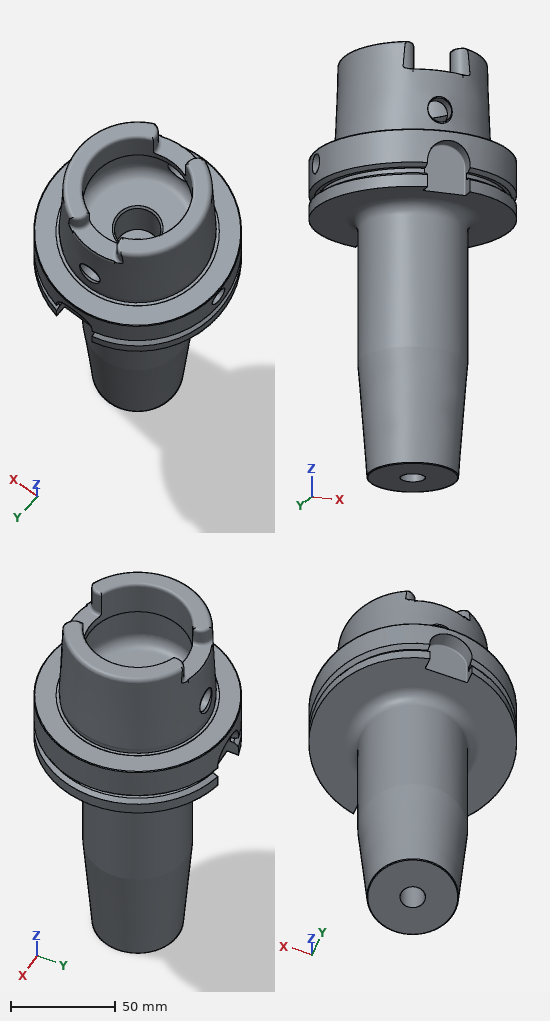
import cadquery as cq
import math


total_length = 210.0
nose_height = 49.7
flange_thickness = 29.2
flange_bottom = -flange_thickness
tip_z = nose_height - total_length

nose_top_radius = 35.9
nose_base_radius = 37.8
nose_rounding = 2.3
neck_radius = 37.5
neck_height = 2.7
relief_radius = 39.3
relief_depth = 0.2

flange_radius = 50.0
flange_chamfer = 0.5
groove_shelf_radius = 47.5
groove_floor_radius = 45.5
groove_centre_z = -20.0
groove_mouth_width = 6.0
groove_floor_width = 3.0

shank_radius = 26.5
shank_fillet = 6.0
tip_radius = 22.0
tip_cone_length = 57.5
tip_chamfer = 0.5

bore_radius = 26.5
bore_straight_depth = 19.0
undercut_radius = 31.5
undercut_slope = math.radians(60)
bore_floor_fillet = 6.3
bore_floor_z = 3.4
thread_bore_radius = 11.1
thread_bore_depth = 25.2
thread_chamfer = 1.0
through_radius = 6.0

front_notch_depth = 14.7
back_notch_depth = 9.7
notch_sill_drop = 1.5
notch_sill_setback = 0.5
notch_sill_half_length = 12.8
notch_half_width = 9.9
notch_corner_radius = 5.9
notch_shoulder_y = 32.1
notch_floor_fillet = 1.7
rim_fillet = 1.5
blank_radius = flange_radius + 4.2

cross_hole_radius = 6.0
cross_hole_z = 15.0
countersink_start_y = 36.5
countersink_length = 2.0
flange_hole_radius = 4.8
flange_hole_z = -7.0
flange_hole_depth = 5.0
keyway_half_width = 11.0
keyway_top_z = -4.8
keyway_floor_y = 42.6
keyway_floor_fillet = 0.6


def revolve_about_z(profile):
    """Spin an X-Z profile around the Z axis."""
    return profile.close().revolve(360, (0, 0, 0), (0, 1, 0))


def nose_radius_at(z):
    """Radius of the nose cone at a given height."""
    slope = (nose_base_radius - nose_top_radius) / (nose_height - neck_height)
    return nose_top_radius + slope * (nose_height - z)


def make_outside():
    """Turned outer shape of nose, flange and shank."""
    cone_lean = math.atan2(nose_base_radius - nose_top_radius, nose_height - neck_height)
    rim_setback = nose_rounding * math.tan((math.pi / 2 - cone_lean) / 2)
    arc_top = (nose_top_radius - rim_setback, nose_height)
    arc_side = (
        nose_top_radius + rim_setback * math.sin(cone_lean),
        nose_height - rim_setback * math.cos(cone_lean),
    )
    middle_angle = (math.pi / 2 + cone_lean) / 2
    arc_middle = (
        arc_top[0] + nose_rounding * math.cos(middle_angle),
        nose_height - nose_rounding + nose_rounding * math.sin(middle_angle),
    )
    fillet_centre = (shank_radius + shank_fillet, flange_bottom - shank_fillet)
    fillet_middle = (
        fillet_centre[0] - shank_fillet * math.cos(math.pi / 4),
        fillet_centre[1] + shank_fillet * math.sin(math.pi / 4),
    )
    profile = (
        cq.Workplane("XZ")
        .moveTo(0, nose_height)
        .lineTo(*arc_top)
        .threePointArc(arc_middle, arc_side)
        .lineTo(nose_base_radius, neck_height)
        .lineTo(neck_radius, neck_height / 2)
        .lineTo(neck_radius, -relief_depth)
        .lineTo(relief_radius, -relief_depth)
        .lineTo(relief_radius, 0)
        .lineTo(flange_radius - flange_chamfer, 0)
        .lineTo(flange_radius, -flange_chamfer)
        .lineTo(flange_radius, groove_centre_z + groove_mouth_width / 2)
        .lineTo(groove_shelf_radius, groove_centre_z + groove_floor_width / 2)
        .lineTo(groove_floor_radius, groove_centre_z + groove_floor_width / 2)
        .lineTo(groove_floor_radius, groove_centre_z - groove_floor_width / 2)
        .lineTo(groove_shelf_radius, groove_centre_z - groove_floor_width / 2)
        .lineTo(flange_radius, groove_centre_z - groove_mouth_width / 2)
        .lineTo(flange_radius, flange_bottom)
        .lineTo(fillet_centre[0], flange_bottom)
        .threePointArc(fillet_middle, (shank_radius, fillet_centre[1]))
        .lineTo(shank_radius, tip_z + tip_cone_length)
        .lineTo(tip_radius, tip_z + tip_chamfer)
        .lineTo(tip_radius - tip_chamfer, tip_z)
        .lineTo(0, tip_z)
    )
    return revolve_about_z(profile)


def make_bores():
    """Stepped cutter for the nose bore, the thread bore and the through bore."""
    undercut_z = nose_height - bore_straight_depth
    undercut_drop = (undercut_radius - bore_radius) / math.tan(undercut_slope)
    floor_radius = undercut_radius - bore_floor_fillet
    fillet_top_z = bore_floor_z + bore_floor_fillet
    fillet_middle = (
        floor_radius + bore_floor_fillet * math.cos(math.pi / 4),
        fillet_top_z - bore_floor_fillet * math.sin(math.pi / 4),
    )
    thread_floor_z = bore_floor_z - thread_bore_depth
    profile = (
        cq.Workplane("XZ")
        .moveTo(0, nose_height)
        .lineTo(bore_radius, nose_height)
        .lineTo(bore_radius, undercut_z)
        .lineTo(undercut_radius, undercut_z - undercut_drop)
        .lineTo(undercut_radius, fillet_top_z)
        .threePointArc(fillet_middle, (floor_radius, bore_floor_z))
        .lineTo(thread_bore_radius + thread_chamfer, bore_floor_z)
        .lineTo(thread_bore_radius, bore_floor_z - thread_chamfer)
        .lineTo(thread_bore_radius, thread_floor_z)
        .lineTo(through_radius, thread_floor_z)
        .lineTo(through_radius, tip_z)
        .lineTo(0, tip_z)
    )
    return revolve_about_z(profile)


def make_notch(depth):
    """Cutter on the -Y side: a straight gap that flares round a corner arc to a wide opening."""
    reach = blank_radius + 10.5
    corner_y = notch_shoulder_y - notch_corner_radius
    arc_x = notch_half_width + notch_corner_radius
    arc_middle = (
        arc_x - notch_corner_radius * math.cos(math.pi / 4),
        corner_y + notch_corner_radius * math.sin(math.pi / 4),
    )
    return (
        cq.Workplane("XY", origin=(0, 0, nose_height - depth))
        .lineTo(notch_half_width, 0)
        .lineTo(notch_half_width, -corner_y)
        .threePointArc((arc_middle[0], -arc_middle[1]), (arc_x, -notch_shoulder_y))
        .lineTo(reach, -notch_shoulder_y)
        .lineTo(reach, -reach)
        .lineTo(-reach, -reach)
        .lineTo(-reach, -notch_shoulder_y)
        .lineTo(-arc_x, -notch_shoulder_y)
        .threePointArc((-arc_middle[0], -arc_middle[1]), (-notch_half_width, -corner_y))
        .lineTo(-notch_half_width, 0)
        .close()
        .extrude(2 * depth)
        .faces("<Z")
        .edges()
        .fillet(notch_floor_fillet)
    )


def make_keyway():
    """Round-topped cutter on the -Y side, open through the lower flange face."""
    arc_z = keyway_top_z - keyway_half_width
    open_end_z = flange_bottom - 2
    return (
        cq.Workplane("XZ", origin=(0, -keyway_floor_y, 0))
        .moveTo(-keyway_half_width, open_end_z)
        .lineTo(-keyway_half_width, arc_z)
        .threePointArc((0, keyway_top_z), (keyway_half_width, arc_z))
        .lineTo(keyway_half_width, open_end_z)
        .close()
        .extrude(flange_radius)
        .faces(">Y")
        .edges()
        .fillet(keyway_floor_fillet)
    )


def half_turn(cutter):
    """Move a cutter from the -Y side to the +Y side."""
    return cutter.rotate((0, 0, 0), (0, 0, 1), 180)


def make_notched_blank():
    """Oversize cylinder holding the bores and notches, with their edges at the rim rounded."""
    blank = cq.Workplane("XY", origin=(0, 0, tip_z)).circle(blank_radius).extrude(total_length)
    blank = blank.cut(make_bores())
    blank = blank.cut(make_notch(front_notch_depth))
    blank = blank.cut(half_turn(make_notch(back_notch_depth)))
    outer_edges = cq.selectors.RadiusNthSelector(-1)
    rim = blank.faces(">Z").edges()
    inner_edges = rim.newObject([e for e in rim.vals() if e not in rim.edges(outer_edges).vals()])
    return inner_edges.fillet(rim_fillet)


def make_sill_chamfer(depth):
    """Cutter that breaks the outer edge of the notch floor on the -Y side."""
    floor_z = nose_height - depth
    low_z = floor_z - notch_sill_drop
    low_radius = nose_radius_at(low_z)
    ring = revolve_about_z(
        cq.Workplane("XZ")
        .moveTo(nose_radius_at(floor_z) - notch_sill_setback, floor_z)
        .lineTo(low_radius, low_z)
        .lineTo(low_radius, floor_z)
    )
    window = cq.Workplane("XY", origin=(0, -low_radius, floor_z)).box(
        2 * notch_sill_half_length, low_radius, 2 * depth
    )
    return ring.intersect(window)


def make_cross_hole():
    """Hole along Y through both nose walls, countersunk at 45 degrees where it leaves them."""
    mouth_y = countersink_start_y + countersink_length
    mouth_radius = cross_hole_radius + countersink_length
    return (
        cq.Workplane("YZ", origin=(0, 0, cross_hole_z))
        .moveTo(-mouth_y, 0)
        .lineTo(-mouth_y, mouth_radius)
        .lineTo(-countersink_start_y, cross_hole_radius)
        .lineTo(countersink_start_y, cross_hole_radius)
        .lineTo(mouth_y, mouth_radius)
        .lineTo(mouth_y, 0)
        .close()
        .revolve(360, (0, 0, 0), (1, 0, 0))
    )


def make_flange_hole():
    """Blind hole in the -X side of the flange rim."""
    return (
        cq.Workplane("YZ", origin=(-flange_radius, 0, 0))
        .center(0, flange_hole_z)
        .circle(flange_hole_radius)
        .extrude(flange_hole_depth)
    )


result = make_outside().intersect(make_notched_blank())
result = result.cut(make_cross_hole()).cut(make_flange_hole())

result = result.cut(make_sill_chamfer(front_notch_depth))
result = result.cut(half_turn(make_sill_chamfer(back_notch_depth)))

keyway = make_keyway()
result = result.cut(keyway).cut(half_turn(keyway))